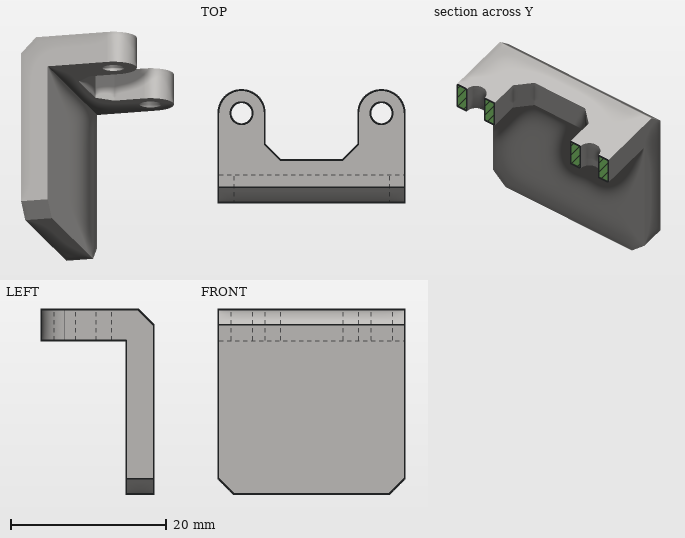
import cadquery as cq

width = 24.0
depth = 14.5
height = 23.75

plate_thickness = 3.55
flange_thickness = 4.0
chamfer = 2.0

lug_width = width / 4
lug_radius = lug_width / 2
lug_x = width / 2 - lug_radius
lug_y = depth - lug_radius
hole_diameter = 2.8

gap_floor_y = 5.5
gap_half_width = width / 2 - lug_width


def front_plate():
    """Upright plate with its two lower corners cut off."""
    plate = cq.Workplane("XY").box(width, plate_thickness, height, centered=(True, False, False))
    return plate.faces("<Z").edges("|Y").chamfer(chamfer)


def top_flange():
    """Horizontal flange ending in two drilled lugs."""
    flange = (
        cq.Workplane("XY", origin=(0, 0, height - flange_thickness))
        .moveTo(-width / 2, 0)
        .lineTo(width / 2, 0)
        .lineTo(width / 2, lug_y)
        .threePointArc((lug_x, depth), (gap_half_width, lug_y))
        .lineTo(gap_half_width, gap_floor_y + chamfer)
        .lineTo(gap_half_width - chamfer, gap_floor_y)
        .lineTo(-gap_half_width + chamfer, gap_floor_y)
        .lineTo(-gap_half_width, gap_floor_y + chamfer)
        .lineTo(-gap_half_width, lug_y)
        .threePointArc((-lug_x, depth), (-width / 2, lug_y))
        .close()
        .extrude(flange_thickness)
    )
    holes = (
        cq.Workplane("XY")
        .pushPoints([(-lug_x, lug_y), (lug_x, lug_y)])
        .circle(hole_diameter / 2)
        .extrude(height)
    )
    return flange.cut(holes)


bracket = front_plate().union(top_flange()).clean()

result = bracket.faces("<Y").edges(">Z").chamfer(chamfer)